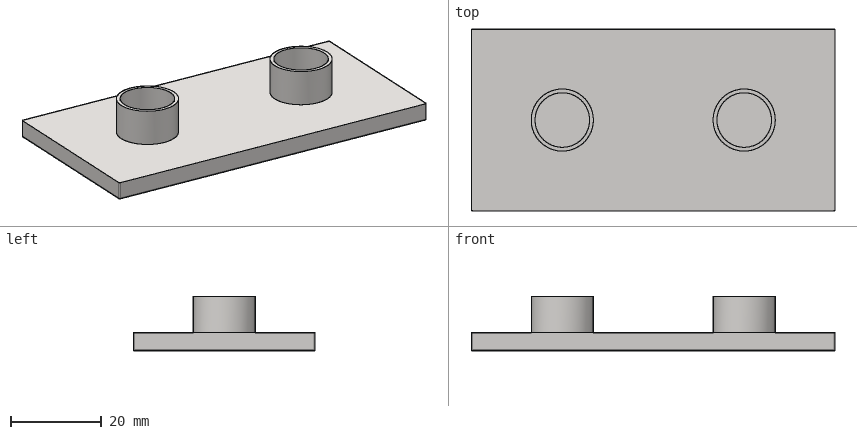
import cadquery as cq

plate_length = 80.0
plate_width = 40.0
plate_thickness = 4.0
edge_radius = 0.28

tube_height = 8.0
tube_outer_diameter = 13.7
tube_inner_diameter = 12.0
tube_spacing = plate_length / 2


def make_plate():
    """Plate centred on X and Y, rounded everywhere except around its top face."""
    plate = cq.Workplane("XY").box(
        plate_length, plate_width, plate_thickness, centered=(True, True, False)
    )
    return plate.edges("|Z or <Z").fillet(edge_radius)


def make_tubes():
    """Two tubes along X; each bore stops at the top face of the plate."""
    return (
        cq.Workplane("XY", origin=(0, 0, plate_thickness))
        .rarray(tube_spacing, 0.8, 2, 1)
        .circle(tube_outer_diameter / 2)
        .circle(tube_inner_diameter / 2)
        .extrude(tube_height)
    )


result = make_plate().union(make_tubes())